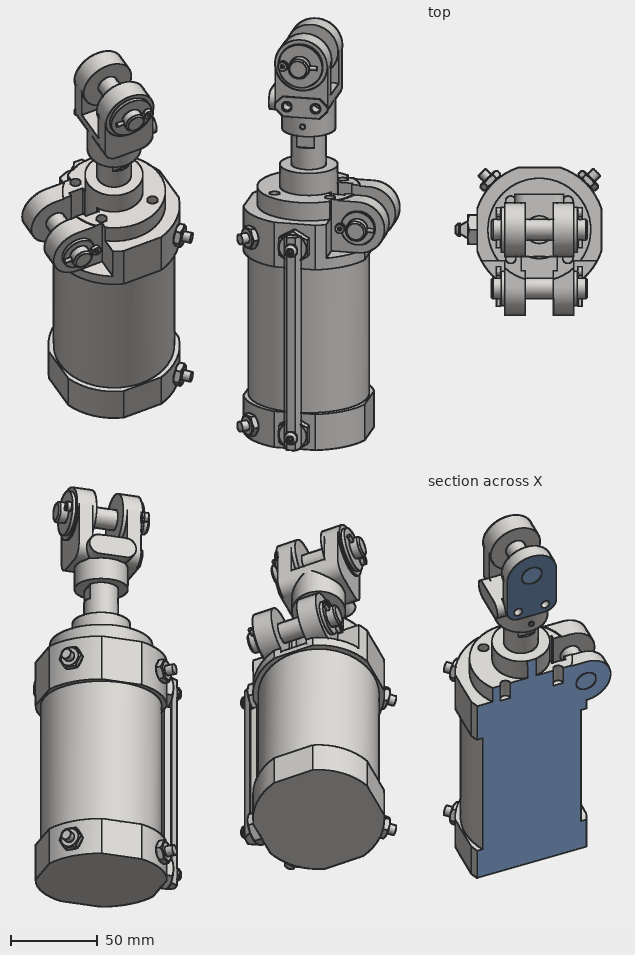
import cadquery as cq
import math


COVER_DIAMETER = 76.0
COVER_FLAT_WIDTH = 72.0
CAP_TOP = 22.0
HEAD_BOTTOM = 110.3
HEAD_TOP = 137.5
BARREL_DIAMETER = 70.0
DISC_DIAMETER = 59.5
DISC_TOP = 148.5
NECK_DIAMETER = 33.5
NECK_TOP = 162.0

DISC_HOLE_DIAMETER = 6.0
DISC_HOLE_SPACING = 33.0
DISC_HOLE_DEPTH = 12.0

CHEEK_GAP = 16.2
CHEEK_OUTER_WIDTH = 40.0
CHEEK_DIAMETER = 31.0
CHEEK_RADIUS = CHEEK_DIAMETER / 2
RELIEF_WIDTH = 21.0

LUG_PIN_Y = -34.0
LUG_PIN_Z = 132.5
LUG_BACK_Y = -18.0
LUG_BOTTOM = LUG_PIN_Z - CHEEK_RADIUS
SLOT_FLOOR = 114.2
RELIEF_FRONT_Y = -23.6
RELIEF_BACK_Y = -15.0

PIN_DIAMETER = 12.0
PIN_LENGTH = 55.5
PIN_CHAMFER = 1.0
WASHER_THICKNESS = 2.0
LUG_WASHER_DIAMETER = 20.0
CLEVIS_WASHER_DIAMETER = 26.0
SPLIT_PIN_DIAMETER = 2.3
SPLIT_PIN_X = 23.6
SPLIT_PIN_TAIL = 10.3
SPLIT_PIN_EYE_CENTER = 10.0
SPLIT_PIN_EYE_DIAMETER = 5.4
SPLIT_PIN_EYE_HOLE = 2.0
SPLIT_PIN_EYE_THICKNESS = 2.5

ROD_DIAMETER = 20.0
ROD_FLAT_WIDTH = 17.0
ROD_FLAT_BOTTOM = 175.0
ROD_END_DIAMETER = 16.0

CLEVIS_PIN_Z = 229.0
CLEVIS_BOTTOM = 184.0
CLEVIS_NECK_DIAMETER = CHEEK_DIAMETER
CLEVIS_BLOCK_WIDTH = 38.0
CLEVIS_FLOOR = 209.0
CLEVIS_PAD_HEIGHT = 12.0
CLEVIS_BLOCK_BOTTOM = CLEVIS_FLOOR - CLEVIS_PAD_HEIGHT
CLEVIS_BLOCK_FILLET = 7.6
PAD_CENTER_Z = CLEVIS_FLOOR - CLEVIS_PAD_HEIGHT / 2
PAD_CORNER = 4.5
PAD_HOLE_SPACING = 17.0
PAD_HOLE_DIAMETER = 4.92
PAD_HOLE_MOUTH_DIAMETER = 6.0
PAD_HOLE_DEPTH = 9.0
REAR_BOSS_LENGTH = 28.5
REAR_BOSS_END_Y = 20.5
SET_SCREW_DIAMETER = 3.0
SET_SCREW_PROJECTION = 0.7
SET_SCREW_Z = 190.0

FITTING_HEIGHTS = (10.0, 124.5)
FITTING_HEX_FLATS = 12.0
FITTING_HEX_FACE_DIAMETER = 11.1
FITTING_HEX_ROLL = 0.0
FITTING_HEX_START = 37.9
FITTING_HEX_END = 42.2
FITTING_STUB_DIAMETER = 6.0
FITTING_STUB_END = 47.0
FITTING_ANGLES = (45.0, 135.0)
MOUNT_ANGLE = 180.0
MOUNT_HEX_FLATS = 17.0
MOUNT_HEX_FACE_DIAMETER = 16.2
MOUNT_HEX_ROLL = 90.0
HEX_ROOT = 34.0
HEX_CHAMFER_ANGLE = math.radians(30)

RAIL_INNER_X = -41.5
RAIL_OUTER_X = -45.7
RAIL_BASE_WIDTH = 10.0
RAIL_FACE_WIDTH = 5.0
RAIL_END_MARGIN = 7.7
RIB_INNER_X = -37.7
RIB_WIDTH = 6.0
RIB_BOTTOM = 21.3
RIB_TOP = 114.3
SCREW_HEAD_DIAMETER = 7.6
SCREW_HEAD_HEIGHT = 2.8
SCREW_TIP_DIAMETER = 4.0
SCREW_SOCKET_DIAMETER = 2.3
SCREW_SOCKET_DEPTH = 1.2


def disc(diameter, bottom, top):
    """Round solid around the Z axis."""
    return cq.Workplane("XY").workplane(offset=bottom).circle(diameter / 2).extrude(top - bottom)


def rod_along_x(diameter, start, end, y, z):
    """Round solid parallel to X."""
    return cq.Workplane("YZ", origin=(start, y, z)).circle(diameter / 2).extrude(end - start)


def box(x_range, y_range, z_range):
    """Box between two limits on each axis."""
    (x0, x1), (y0, y1), (z0, z1) = x_range, y_range, z_range
    return cq.Workplane("XY").box(x1 - x0, y1 - y0, z1 - z0, centered=False).translate((x0, y0, z0))


def cover(bottom, top):
    """End cap or head: a round slab with a flat on each of its four sides."""
    half = COVER_FLAT_WIDTH / 2
    return disc(COVER_DIAMETER, bottom, top).intersect(box((-half, half), (-half, half), (bottom, top)))


def hexagon(flats, face_diameter, start, end, roll):
    """Hexagon along X with its corners turned off to the face diameter at both ends."""
    corners = flats / math.cos(math.pi / 6)
    radius = corners / 2
    face_radius = face_diameter / 2
    slope = (radius - face_radius) * math.tan(HEX_CHAMFER_ANGLE)
    turned = (
        cq.Workplane("XY")
        .moveTo(start, 0)
        .lineTo(start, face_radius)
        .lineTo(start + slope, radius)
        .lineTo(end - slope, radius)
        .lineTo(end, face_radius)
        .lineTo(end, 0)
        .close()
        .revolve(360, (0, 0, 0), (1, 0, 0))
    )
    prism = cq.Workplane("YZ", origin=(start, 0, 0)).polygon(6, corners).extrude(end - start)
    return prism.rotate((0, 0, 0), (1, 0, 0), roll).intersect(turned)


def place_radially(shape, angle, height):
    """Turn a shape built along +X around the cylinder axis and lift it to its height."""
    return shape.rotate((0, 0, 0), (0, 0, 1), angle).translate((0, 0, height))


def fitting(angle, height):
    """Side fitting: a hexagon on a round root, with a round stub."""
    shape = hexagon(
        FITTING_HEX_FLATS, FITTING_HEX_FACE_DIAMETER, FITTING_HEX_START, FITTING_HEX_END, FITTING_HEX_ROLL
    )
    shape = shape.union(rod_along_x(FITTING_HEX_FACE_DIAMETER, HEX_ROOT, FITTING_HEX_START, 0, 0))
    shape = shape.union(rod_along_x(FITTING_STUB_DIAMETER, HEX_ROOT, FITTING_STUB_END, 0, 0))
    return place_radially(shape, angle, height)


def rail_mount(height):
    """Hexagon on the side of a cover that carries one end of the switch rail."""
    shape = hexagon(MOUNT_HEX_FLATS, MOUNT_HEX_FACE_DIAMETER, HEX_ROOT, -RAIL_INNER_X, MOUNT_HEX_ROLL)
    return place_radially(shape, MOUNT_ANGLE, height)


def lug_block():
    """The two housing lugs before the slot is cut between them."""
    half = CHEEK_OUTER_WIDTH / 2
    top = LUG_PIN_Z + CHEEK_RADIUS
    return (
        cq.Workplane("YZ", origin=(-half, 0, 0))
        .moveTo(LUG_BACK_Y, LUG_BOTTOM)
        .lineTo(LUG_PIN_Y, LUG_BOTTOM)
        .threePointArc((LUG_PIN_Y - CHEEK_RADIUS, LUG_PIN_Z), (LUG_PIN_Y, top))
        .lineTo(LUG_BACK_Y, top)
        .close()
        .extrude(CHEEK_OUTER_WIDTH)
    )


def lug_slot():
    """Space between the lugs: narrow at the cheeks, wider beside the neck."""
    gap, relief = CHEEK_GAP / 2, RELIEF_WIDTH / 2
    height = (SLOT_FLOOR, NECK_TOP)
    front = LUG_PIN_Y - CHEEK_DIAMETER
    cheeks = box((-gap, gap), (front, RELIEF_FRONT_Y), height)
    return cheeks.union(box((-relief, relief), (RELIEF_FRONT_Y, RELIEF_BACK_Y), height))


def side_notches():
    """Space cut from the head and the disc on both outer sides of the lugs."""
    inner, outer = CHEEK_OUTER_WIDTH / 2, COVER_DIAMETER
    notches = cq.Workplane("XY")
    for x_range in ((-outer, -inner), (inner, outer)):
        notches = notches.add(box(x_range, (-COVER_DIAMETER, LUG_BACK_Y), (LUG_BOTTOM, NECK_TOP)))
    return notches.combine()


def make_housing():
    """Cylinder with end cap, barrel, head, lugs, neck, side fittings and rail mounts."""
    body = cover(0, CAP_TOP)
    body = body.union(disc(BARREL_DIAMETER, CAP_TOP, HEAD_BOTTOM))
    body = body.union(cover(HEAD_BOTTOM, HEAD_TOP))
    body = body.union(disc(DISC_DIAMETER, HEAD_TOP, DISC_TOP))
    body = body.cut(side_notches()).union(lug_block()).cut(lug_slot())
    body = body.union(disc(NECK_DIAMETER, HEAD_BOTTOM, NECK_TOP))
    body = body.cut(disc(ROD_DIAMETER, HEAD_BOTTOM, NECK_TOP))

    disc_holes = (
        cq.Workplane("XY")
        .workplane(offset=DISC_TOP - DISC_HOLE_DEPTH)
        .rect(DISC_HOLE_SPACING, DISC_HOLE_SPACING, forConstruction=True)
        .vertices()
        .circle(DISC_HOLE_DIAMETER / 2)
        .extrude(DISC_HOLE_DEPTH)
    )
    half = CHEEK_OUTER_WIDTH / 2
    body = body.cut(disc_holes).cut(rod_along_x(PIN_DIAMETER, -half, half, LUG_PIN_Y, LUG_PIN_Z))

    for height in FITTING_HEIGHTS:
        body = body.union(rail_mount(height))
        for angle in FITTING_ANGLES:
            body = body.union(fitting(angle, height))
    return body


def make_rod():
    """Piston rod with two wrench flats and a thinner end that fills the clevis bore."""
    rod = disc(ROD_DIAMETER, HEAD_BOTTOM, CLEVIS_BOTTOM)
    half_flat = ROD_FLAT_WIDTH / 2
    for x_range in ((-ROD_DIAMETER, -half_flat), (half_flat, ROD_DIAMETER)):
        rod = rod.cut(box(x_range, (-ROD_DIAMETER, ROD_DIAMETER), (ROD_FLAT_BOTTOM, CLEVIS_BOTTOM)))
    return rod.union(disc(ROD_END_DIAMETER, CLEVIS_BOTTOM, CLEVIS_FLOOR))


def clevis_pad():
    """Side pad: a plate with cut corners, standing out as far as the cheeks."""
    return (
        cq.Workplane("YZ", origin=(-CHEEK_OUTER_WIDTH / 2, 0, PAD_CENTER_Z))
        .rect(CHEEK_DIAMETER, CLEVIS_PAD_HEIGHT)
        .extrude((CHEEK_OUTER_WIDTH - CLEVIS_BLOCK_WIDTH) / 2)
        .edges("|X")
        .chamfer(PAD_CORNER)
    )


def clevis_pad_holes():
    """Two countersunk blind holes in the side pad."""
    sink = (PAD_HOLE_MOUTH_DIAMETER - PAD_HOLE_DIAMETER) / 2
    holes = cq.Workplane("XY")
    for side in (-1, 1):
        start = -CHEEK_OUTER_WIDTH / 2
        y = side * PAD_HOLE_SPACING / 2
        hole = rod_along_x(PAD_HOLE_DIAMETER, start, start + PAD_HOLE_DEPTH, y, PAD_CENTER_Z)
        mouth = rod_along_x(PAD_HOLE_MOUTH_DIAMETER, start, start + 2 * sink, y, PAD_CENTER_Z)
        holes = holes.add(hole.union(mouth.faces(">X").chamfer(sink)))
    return holes.combine()


def make_clevis():
    """Rod clevis: round neck, forked block, round cheeks, side pad and rear boss."""
    half_block, half_relief = CLEVIS_BLOCK_WIDTH / 2, RELIEF_WIDTH / 2
    block = box(
        (-half_block, half_block),
        (-CHEEK_RADIUS, CHEEK_RADIUS),
        (CLEVIS_BLOCK_BOTTOM, CLEVIS_PIN_Z),
    )
    block = block.edges("|X and <Z").fillet(CLEVIS_BLOCK_FILLET)
    rear_boss = (
        cq.Workplane("XZ", origin=(0, REAR_BOSS_END_Y, PAD_CENTER_Z))
        .slot2D(REAR_BOSS_LENGTH, CLEVIS_PAD_HEIGHT)
        .extrude(REAR_BOSS_END_Y)
    )
    body = block.cut(
        box((-half_relief, half_relief), (-CHEEK_DIAMETER, CHEEK_DIAMETER), (CLEVIS_FLOOR, CLEVIS_PIN_Z))
    )
    body = body.union(disc(CLEVIS_NECK_DIAMETER, CLEVIS_BOTTOM, CLEVIS_FLOOR))
    body = body.union(rear_boss).union(clevis_pad())

    inner, outer = CHEEK_GAP / 2, CHEEK_OUTER_WIDTH / 2
    for start in (-outer, inner):
        body = body.union(rod_along_x(CHEEK_DIAMETER, start, start + outer - inner, 0, CLEVIS_PIN_Z))

    screw_end = -CLEVIS_NECK_DIAMETER / 2 - SET_SCREW_PROJECTION
    body = body.union(rod_along_x(SET_SCREW_DIAMETER, screw_end, -ROD_END_DIAMETER / 2, 0, SET_SCREW_Z))
    body = body.cut(disc(ROD_END_DIAMETER, CLEVIS_BOTTOM, CLEVIS_FLOOR))
    body = body.cut(rod_along_x(PIN_DIAMETER, -outer, outer, 0, CLEVIS_PIN_Z))
    return body.cut(clevis_pad_holes())


def split_pin(x):
    """Split pin across the joint pin: a straight leg with a round eye on its +Y end."""
    radius = SPLIT_PIN_DIAMETER / 2
    leg = (
        cq.Workplane("XZ", origin=(x, SPLIT_PIN_EYE_CENTER - radius, 0))
        .circle(radius)
        .extrude(SPLIT_PIN_EYE_CENTER - radius + SPLIT_PIN_TAIL)
    )
    eye = (
        cq.Workplane("YZ", origin=(x - SPLIT_PIN_EYE_THICKNESS / 2, SPLIT_PIN_EYE_CENTER, 0))
        .circle(SPLIT_PIN_EYE_DIAMETER / 2)
        .circle(SPLIT_PIN_EYE_HOLE / 2)
        .extrude(SPLIT_PIN_EYE_THICKNESS)
    )
    return leg.union(eye)


def make_joint_pin(washer_diameter, y, z):
    """Joint pin with a washer and a split pin at each end."""
    half = PIN_LENGTH / 2
    pin = rod_along_x(PIN_DIAMETER, -half, half, 0, 0).faces("<X or >X").chamfer(PIN_CHAMFER)
    cheek = CHEEK_OUTER_WIDTH / 2
    for start in (-cheek - WASHER_THICKNESS, cheek):
        pin = pin.union(rod_along_x(washer_diameter, start, start + WASHER_THICKNESS, 0, 0))
    for x in (-SPLIT_PIN_X, SPLIT_PIN_X):
        pin = pin.union(split_pin(x))
    return pin.translate((0, y, z))


def rail_screw(height):
    """Round screw head with a sloped rim and a round socket."""
    tip = RAIL_OUTER_X - SCREW_HEAD_HEIGHT
    head = rod_along_x(SCREW_HEAD_DIAMETER, tip, RAIL_OUTER_X, 0, height)
    head = head.faces("<X").chamfer((SCREW_HEAD_DIAMETER - SCREW_TIP_DIAMETER) / 2)
    return head.cut(rod_along_x(SCREW_SOCKET_DIAMETER, tip, tip + SCREW_SOCKET_DEPTH, 0, height))


def make_rail():
    """Switch rail: a tapered bar with a rib on its inner side and its two screw heads."""
    bottom = FITTING_HEIGHTS[0] - RAIL_END_MARGIN
    top = FITTING_HEIGHTS[1] + RAIL_END_MARGIN
    rail = (
        cq.Workplane("XY", origin=(0, 0, bottom))
        .moveTo(RAIL_INNER_X, -RAIL_BASE_WIDTH / 2)
        .lineTo(RAIL_INNER_X, RAIL_BASE_WIDTH / 2)
        .lineTo(RAIL_OUTER_X, RAIL_FACE_WIDTH / 2)
        .lineTo(RAIL_OUTER_X, -RAIL_FACE_WIDTH / 2)
        .close()
        .extrude(top - bottom)
    )
    rail = rail.union(
        box((RAIL_INNER_X, RIB_INNER_X), (-RIB_WIDTH / 2, RIB_WIDTH / 2), (RIB_BOTTOM, RIB_TOP))
    )
    for height in FITTING_HEIGHTS:
        rail = rail.union(rail_screw(height))
    return rail


housing = make_housing()
rod = make_rod()
clevis = make_clevis()
lug_pin = make_joint_pin(LUG_WASHER_DIAMETER, LUG_PIN_Y, LUG_PIN_Z)
clevis_pin = make_joint_pin(CLEVIS_WASHER_DIAMETER, 0, CLEVIS_PIN_Z)
rail = make_rail()

result = cq.Compound.makeCompound(
    [body.solids().val() for body in (housing, rod, clevis, lug_pin, clevis_pin, rail)]
)